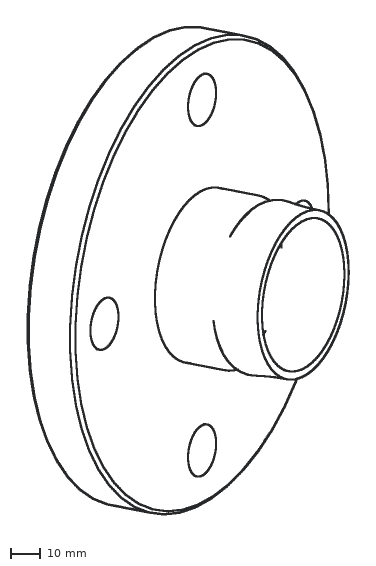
import cadquery as cq
import math

raised_face_height = 4.0
flange_back = 23.1
shoulder_start = 39.0
bead_crest = 49.0
total_length = 63.5

flange_diameter = 165.0
raised_face_diameter = 92.0
neck_diameter = 60.4
groove_diameter = 54.3
spigot_end_diameter = 58.5
bolt_circle_diameter = 125.1
bolt_hole_diameter = 18.0

bolt_count = 4
flange_chamfer = 1.3
wall = 2.8

flank_angle = math.radians(55)
flank_bend_radius = 1.24
groove_floor_width = 1.2
bead_root_radius = 1.5

neck_radius = neck_diameter / 2
groove_radius = groove_diameter / 2
spigot_end_radius = spigot_end_diameter / 2
groove_depth = neck_radius - groove_radius


def bend_offset(radius, angle):
    """Axial run and radial rise of an arc that leaves the axial direction and turns by angle."""
    return radius * math.sin(angle), radius * (1 - math.cos(angle))


bend_run, bend_rise = bend_offset(flank_bend_radius, flank_angle)
half_bend_run, half_bend_rise = bend_offset(flank_bend_radius, flank_angle / 2)
flank_run = (groove_depth - 2 * bend_rise) / math.tan(flank_angle)
floor_start = shoulder_start + 2 * bend_run + flank_run
floor_end = floor_start + groove_floor_width

bead_run = bead_crest - floor_end
bead_angle = 2 * math.atan(groove_depth / bead_run)
bead_crest_radius = bead_run / math.sin(bead_angle) - bead_root_radius

taper_middle = (bead_crest + total_length) / 2
taper_middle_radius = spigot_end_radius + (neck_radius - spigot_end_radius) / 4


def tube_body(inset):
    """Solid inside the rolled tube surface, set inward by inset."""
    neck = neck_radius - inset
    floor = groove_radius - inset

    flank_shift = inset * math.tan(flank_angle / 2)
    shoulder = shoulder_start - flank_shift
    root = floor_start - flank_shift

    root_radius = bead_root_radius + inset
    crest_radius = bead_crest_radius - inset
    root_run, root_rise = bend_offset(root_radius, bead_angle)
    half_root_run, half_root_rise = bend_offset(root_radius, bead_angle / 2)
    half_crest_run, half_crest_rise = bend_offset(crest_radius, bead_angle / 2)

    profile = (
        cq.Workplane("XY")
        .lineTo(0, neck)
        .lineTo(shoulder, neck)
        .threePointArc(
            (shoulder + half_bend_run, neck - half_bend_rise),
            (shoulder + bend_run, neck - bend_rise),
        )
        .lineTo(root - bend_run, floor + bend_rise)
        .threePointArc(
            (root - half_bend_run, floor + half_bend_rise),
            (root, floor),
        )
        .lineTo(floor_end, floor)
        .threePointArc(
            (floor_end + half_root_run, floor + half_root_rise),
            (floor_end + root_run, floor + root_rise),
        )
        .threePointArc(
            (bead_crest - half_crest_run, neck - half_crest_rise),
            (bead_crest, neck),
        )
        .threePointArc(
            (taper_middle, taper_middle_radius - inset),
            (total_length, spigot_end_radius - inset),
        )
        .lineTo(total_length, 0)
        .close()
    )
    return profile.revolve(360, (0, 0, 0), (1, 0, 0))


def disc(start, end, diameter):
    """Round disc about the X axis between two axial positions."""
    return cq.Workplane("YZ").workplane(offset=start).circle(diameter / 2).extrude(end - start)


flange = disc(raised_face_height, flange_back, flange_diameter).edges().chamfer(flange_chamfer)
raised_face = disc(0, raised_face_height, raised_face_diameter)

bolt_holes = (
    cq.Workplane("YZ")
    .polarArray(bolt_circle_diameter / 2, 0, 360, bolt_count)
    .circle(bolt_hole_diameter / 2)
    .extrude(flange_back)
)

outer_tube = tube_body(0)
bore = tube_body(wall)

result = flange.union(raised_face).union(outer_tube).cut(bolt_holes).cut(bore)